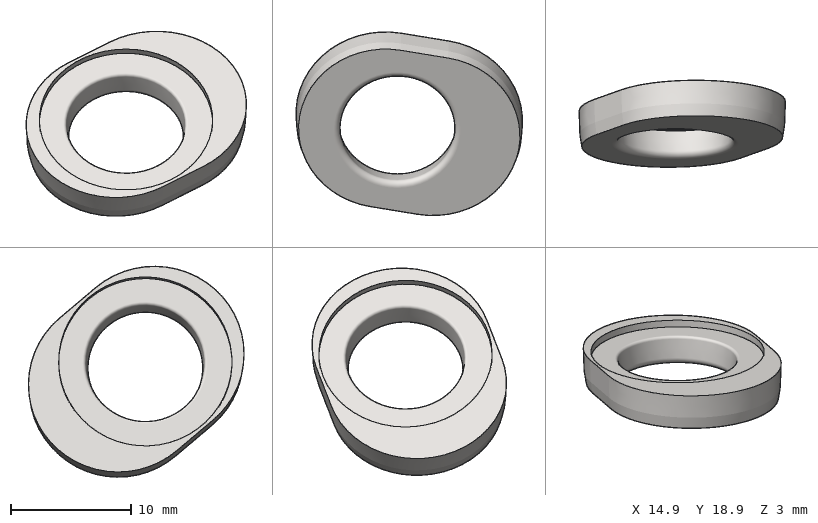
import cadquery as cq
import math

WIDTH = 14.95
LENGTH = 18.95
HEIGHT = 3.0
LOWER_HEIGHT = 1.0
UPPER_DRAFT_ANGLE = 2.0
LOWER_DRAFT_ANGLE = 9.0

BODY_OFFSET = 1.0
RECESS_DIAMETER = 14.43
RECESS_DEPTH = 0.6

HOLE_THROAT_DIAMETER = 9.55
HOLE_DRAFT_ANGLE = 6.0
TOP_RIM_RADIUS = 0.25
BOTTOM_RIM_RADIUS = 0.5

upper_height = HEIGHT - LOWER_HEIGHT
floor_z = HEIGHT - RECESS_DEPTH
lower_inset = upper_height * math.tan(math.radians(UPPER_DRAFT_ANGLE))


def drafted_band(top_z, height, inset, draft_angle):
    """Racetrack band that narrows downward from top_z."""
    return (
        cq.Workplane("XY", origin=(0, BODY_OFFSET, top_z))
        .slot2D(LENGTH - 2 * inset, WIDTH - 2 * inset, 90)
        .extrude(-height, taper=draft_angle)
    )


def make_body():
    upper = drafted_band(HEIGHT, upper_height, 0, UPPER_DRAFT_ANGLE)
    lower = drafted_band(LOWER_HEIGHT, LOWER_HEIGHT, lower_inset, LOWER_DRAFT_ANGLE)
    return upper.union(lower)


def make_recess():
    return cq.Workplane("XY", origin=(0, 0, floor_z)).circle(RECESS_DIAMETER / 2).extrude(RECESS_DEPTH)


def make_hole():
    """Drafted hole between the bottom face and the recess floor, with both rims rounded."""
    draft = math.radians(HOLE_DRAFT_ANGLE)
    upper_z = floor_z - TOP_RIM_RADIUS * (1 - math.sin(draft))
    lower_z = BOTTOM_RIM_RADIUS * (1 + math.sin(draft))
    throat_r = HOLE_THROAT_DIAMETER / 2
    upper_r = throat_r + (upper_z - lower_z) * math.tan(draft)
    top_centre_r = upper_r + TOP_RIM_RADIUS * math.cos(draft)
    bottom_centre_r = throat_r + BOTTOM_RIM_RADIUS * math.cos(draft)
    profile = (
        cq.Workplane("XZ")
        .moveTo(0, 0)
        .lineTo(bottom_centre_r, 0)
        .radiusArc((throat_r, lower_z), BOTTOM_RIM_RADIUS)
        .lineTo(upper_r, upper_z)
        .radiusArc((top_centre_r, floor_z), TOP_RIM_RADIUS)
        .lineTo(0, floor_z)
        .close()
    )
    return profile.revolve(360, (0, 0, 0), (0, 1, 0))


result = make_body().cut(make_recess()).cut(make_hole())